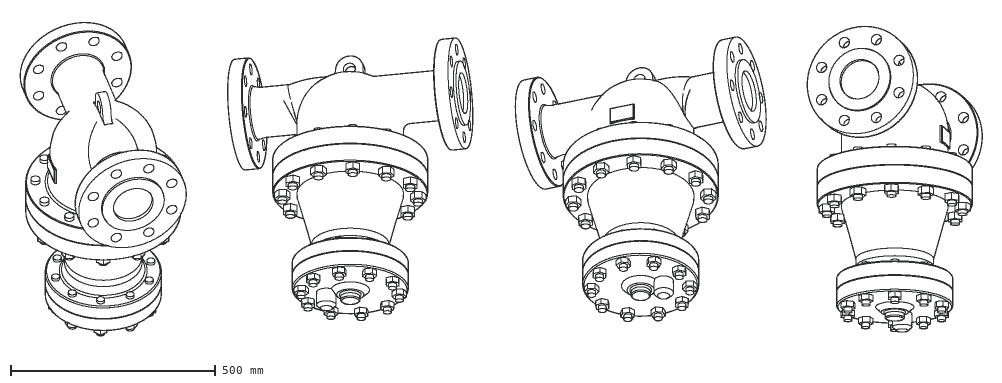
import cadquery as cq
import math


pipe_axis_z = 544.85
pipe_diameter = 124.0
overall_length = 568.0
raised_face_height = 7.0
nozzle_flange_diameter = 273.0
nozzle_flange_thickness = 37.0
nozzle_raised_face_diameter = 157.5
bore_diameter = 100.0
bore_depth = 10.0
nozzle_hole_diameter = 26.0
nozzle_hole_circle_radius = 108.0
nozzle_hole_count = 8
hub_base_diameter = 136.0
hub_diameter = 131.0
hub_base_length = 3.5
hub_length = 20.5
pipe_fillet = 18.0

elbow_start_x = 72.0
elbow_bend_radius = 180.5
elbow_rise = 11.5
elbow_angle = 26.0
miter_x = 136.0
miter_tilt = 12.9

body_flange_diameter = 380.0
body_flange_bottom = 303.0
body_flange_split = 350.0
body_flange_top = 398.0
body_gasket_diameter = 300.0

cover_flange_diameter = 285.0
cover_flange_bottom = 43.0
cover_flange_split = 82.5
cover_flange_top = 120.0
cover_gasket_diameter = 218.0

gasket_gap = 2.0
nozzle_flange_chamfer = 2.0
body_flange_chamfer = 2.0
cover_flange_chamfer = 3.5

body_diameter = 261.0
body_foot_diameter = 273.0
body_step_diameter = 285.0
step_height = 4.0
body_skirt_top = 433.0
dome_base = 495.5
dome_top = 619.0

cone_top_land = 7.0
cone_bottom_z = 170.0
cone_bottom_diameter = 193.0
neck_diameter = 190.0
neck_foot_diameter = 204.5
neck_top = 165.5
neck_bottom = 146.0
neck_flare_diameter = 193.0
neck_flare_z = 142.0
neck_step_diameter = 215.5

lug_thickness = 21.0
lug_radius = 35.0
lug_hole_diameter = 30.0
lug_foot_radius = 16.5
lug_left_foot_z = 610.5
lug_base_z = 591.5

plate_width = 63.5
plate_height = 42.0
plate_bottom = 444.0
plate_front_y = -133.0
plate_depth = 17.0
plate_chamfer = 2.0

plug_diameter = 48.0
drain_plug_x = 60.0
drain_plug_chamfer = 9.0
boss_top_diameter = 94.0
boss_bottom_diameter = 67.0
boss_bottom = 30.0
center_plug_flare_diameter = 53.0
center_plug_flare_bottom = 24.5
center_plug_bottom = 13.0
center_plug_chamfer = 3.0


def disc(diameter, bottom, top):
    return cq.Workplane("XY", origin=(0, 0, bottom)).circle(diameter / 2).extrude(top - bottom)


def revolve_about_z(points):
    return cq.Workplane("XZ").polyline(points).close().revolve(360, (0, 0, 0), (0, 1, 0))


def flange_pair(diameter, bottom, split, top, gasket_diameter, chamfer):
    """Two chamfered discs that meet on a narrower gasket."""
    lower = disc(diameter, bottom, split - gasket_gap / 2).faces("<Z").edges().chamfer(chamfer)
    upper = disc(diameter, split + gasket_gap / 2, top).faces(">Z").edges().chamfer(chamfer)
    return lower.union(upper).union(disc(gasket_diameter, bottom, top))


def bolt_ring(count, circle_radius, start_angle, diameter, bottom, top, nut_width, nut_bottom, nut_top):
    """Studs with a hexagonal nut on the lower side, one corner pointing away from the axis."""
    stud = disc(diameter, bottom, top)
    nut = (cq.Workplane("XY", origin=(0, 0, nut_bottom))
           .polygon(6, nut_width).extrude(nut_top - nut_bottom))
    bolt = stud.union(nut).translate((circle_radius, 0, 0))
    ring = cq.Workplane("XY")
    for i in range(count):
        ring = ring.add(bolt.rotate((0, 0, 0), (0, 0, 1), start_angle + i * 360 / count))
    return ring


def upper_body():
    """Stepped skirt, cylinder and elliptical dome."""
    radius = body_diameter / 2
    foot = body_flange_top + step_height
    return (cq.Workplane("XZ")
            .moveTo(0, body_flange_split)
            .lineTo(body_step_diameter / 2, body_flange_split)
            .lineTo(body_step_diameter / 2, body_flange_top)
            .lineTo(body_foot_diameter / 2, foot)
            .lineTo(radius, body_skirt_top)
            .lineTo(radius, dome_base)
            .ellipseArc(radius, dome_top - dome_base, 0, 90, startAtCurrent=True)
            .close()
            .revolve(360, (0, 0, 0), (0, 1, 0)))


def lower_body():
    """Cone below the body flange, short neck and flared foot on the cover flange."""
    return revolve_about_z([
        (0, body_flange_bottom),
        (body_diameter / 2, body_flange_bottom),
        (body_diameter / 2, body_flange_bottom - cone_top_land),
        (cone_bottom_diameter / 2, cone_bottom_z),
        (neck_diameter / 2, neck_top),
        (neck_diameter / 2, neck_bottom),
        (neck_flare_diameter / 2, neck_flare_z),
        (neck_foot_diameter / 2, cover_flange_top + step_height),
        (neck_step_diameter / 2, cover_flange_top),
        (0, cover_flange_top),
    ])


def nozzle_end():
    """Flange with raised face, blind bore, bolt holes and hub, on the +X side."""
    face_x = overall_length / 2
    front_x = face_x - raised_face_height
    back_x = front_x - nozzle_flange_thickness
    hub_x = back_x - hub_base_length
    pipe_x = back_x - hub_length
    radius = nozzle_flange_diameter / 2
    profile = [
        (pipe_x, 0),
        (pipe_x, pipe_diameter / 2),
        (hub_x, hub_diameter / 2),
        (back_x, hub_base_diameter / 2),
        (back_x, radius - nozzle_flange_chamfer),
        (back_x + nozzle_flange_chamfer, radius),
        (front_x, radius),
        (front_x, nozzle_raised_face_diameter / 2),
        (face_x, nozzle_raised_face_diameter / 2),
        (face_x, bore_diameter / 2),
        (face_x - bore_depth, bore_diameter / 2),
        (face_x - bore_depth, 0),
    ]
    end = cq.Workplane("XY").polyline(profile).close().revolve(360, (0, 0, 0), (1, 0, 0))
    holes = (cq.Workplane("YZ", origin=(back_x, 0, 0))
             .polarArray(nozzle_hole_circle_radius, 180 / nozzle_hole_count, 360, nozzle_hole_count)
             .circle(nozzle_hole_diameter / 2)
             .extrude(nozzle_flange_thickness))
    return end.cut(holes).translate((0, 0, pipe_axis_z))


def pipe(direction):
    """Straight pipe from the body axis to the hub, direction +1 or -1 along X."""
    length = overall_length / 2 - raised_face_height - nozzle_flange_thickness - hub_length
    return (cq.Workplane("YZ", origin=(0, 0, pipe_axis_z))
            .circle(pipe_diameter / 2).extrude(direction * length))


def outlet_pipe():
    """Pipe on the +X side, cut obliquely where the elbow meets it."""
    waste = (cq.Workplane("XY")
             .box(2 * miter_x, 2 * pipe_diameter, 4 * pipe_diameter)
             .translate((-miter_x, 0, 0))
             .rotate((0, 0, 0), (0, 1, 0), miter_tilt)
             .translate((miter_x, 0, pipe_axis_z)))
    return pipe(1).cut(waste)


def elbow():
    """Straight run from the dome followed by a bend down to the outlet pipe axis."""
    start = cq.Workplane("YZ", origin=(elbow_start_x, 0, pipe_axis_z + elbow_rise))
    run = start.circle(pipe_diameter / 2).extrude(-elbow_start_x)
    bend = (start.circle(pipe_diameter / 2)
            .revolve(elbow_angle, (-7, -elbow_bend_radius, 0), (7, -elbow_bend_radius, 0)))
    return run.union(bend)


def lug():
    """Rounded lifting eye with flared feet, the left one lower on the dome."""
    foot_x = lug_radius + lug_foot_radius
    center_z = dome_top + lug_foot_radius
    left_center_z = lug_left_foot_z + lug_foot_radius
    turn = lug_foot_radius * math.sqrt(0.5)
    return (cq.Workplane("XZ", origin=(0, lug_thickness / 2, 0))
            .moveTo(-foot_x, lug_base_z)
            .lineTo(-foot_x, lug_left_foot_z)
            .threePointArc((-foot_x + turn, left_center_z - turn), (-lug_radius, left_center_z))
            .lineTo(-lug_radius, center_z)
            .threePointArc((0, center_z + lug_radius), (lug_radius, center_z))
            .threePointArc((foot_x - turn, center_z - turn), (foot_x, dome_top))
            .lineTo(foot_x, lug_base_z)
            .close()
            .extrude(lug_thickness)
            .cut(cq.Workplane("XZ", origin=(0, lug_thickness / 2, center_z))
                 .circle(lug_hole_diameter / 2).extrude(lug_thickness)))


def nameplate():
    return (cq.Workplane("XY", origin=(0, plate_front_y, plate_bottom))
            .box(plate_width, plate_depth, plate_height, centered=(True, False, False))
            .faces("<Y").edges().chamfer(plate_chamfer))


def center_plug():
    """Conical boss on the axis with a chamfered plug."""
    radius = plug_diameter / 2
    return revolve_about_z([
        (0, cover_flange_bottom),
        (boss_top_diameter / 2, cover_flange_bottom),
        (boss_bottom_diameter / 2, boss_bottom),
        (center_plug_flare_diameter / 2, boss_bottom),
        (radius, center_plug_flare_bottom),
        (radius, center_plug_bottom + center_plug_chamfer),
        (radius - center_plug_chamfer, center_plug_bottom),
        (0, center_plug_bottom),
    ])


def drain_plug():
    return (disc(plug_diameter, 0, cover_flange_bottom)
            .faces("<Z").edges().chamfer(drain_plug_chamfer)
            .translate((drain_plug_x, 0, 0)))


body_bolts = bolt_ring(count=12, circle_radius=166.0, start_angle=15, diameter=22.5, bottom=277.5, top=407.5,
                       nut_width=38.0, nut_bottom=286.0, nut_top=body_flange_bottom)
cover_bolts = bolt_ring(count=10, circle_radius=120.5, start_angle=90, diameter=20.0, bottom=19.0, top=127.0,
                        nut_width=35.5, nut_bottom=29.0, nut_top=cover_flange_bottom)

inlet_edge = cq.selectors.BoxSelector((-204.5, -82, 443), (-27, 82, 647.5))
result = upper_body().union(pipe(-1))
result = result.edges(inlet_edge).edges("not(#Z or #Y)").fillet(pipe_fillet)
result = result.union(outlet_pipe()).union(elbow()).union(lug()).union(nameplate())
result = result.union(nozzle_end()).union(nozzle_end().rotate((0, 0, 0), (0, 0, 1), 180))
result = result.union(flange_pair(body_flange_diameter, body_flange_bottom, body_flange_split,
                                  body_flange_top, body_gasket_diameter, body_flange_chamfer))
result = result.union(lower_body())
result = result.union(flange_pair(cover_flange_diameter, cover_flange_bottom, cover_flange_split,
                                  cover_flange_top, cover_gasket_diameter, cover_flange_chamfer))
result = result.union(center_plug()).union(drain_plug())
for bolt in body_bolts.vals() + cover_bolts.vals():
    result = result.union(cq.Workplane(bolt))